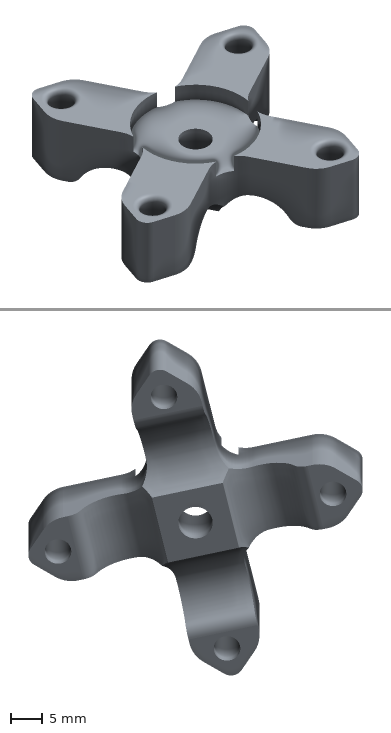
import cadquery as cq
import math

side = 40.0
height = 12.0

arm_width = 11.35
root_radius = 5.0
shoulder_radius = 5.0
corner_radius = 2.0

recess_diameter = 21.0
recess_depth = 3.0
bore_diameter = 5.5

hole_offset = 16.0
hole_diameter = 4.3
mouth_diameter = 6.3

arch_position = 12.0
arch_radius = 6.5
arch_axis_drop = 2.1
arch_lip_radius = 2.5

position_tolerance = 0.005
half_side = side / 2
arm_angles = [45 + 90 * step for step in range(4)]


def make_cross():
    """Diagonal cross trimmed to the square, with all upright edges rounded."""
    arm_length = side * math.sqrt(2)
    arm = cq.Workplane("XY").rect(arm_length, arm_width).extrude(height)
    crossing_arm = cq.Workplane("XY").rect(arm_width, arm_length).extrude(height)
    root_area = cq.selectors.BoxSelector((-arm_width, -arm_width, 0), (arm_width, arm_width, height))
    cross = arm.union(crossing_arm).edges("|Z").edges(root_area).fillet(root_radius)
    cross = cross.rotate((0, 0, 0), (0, 0, 1), arm_angles[0])

    square = cq.Workplane("XY").rect(side, side).extrude(height)
    cross = cross.intersect(square)

    cross = cross.edges("|Z").filter(
        lambda edge: math.isclose(abs(edge.Center().x), abs(edge.Center().y), abs_tol=position_tolerance)
    ).fillet(corner_radius)

    shoulder = half_side - arm_width / math.sqrt(2)

    def is_shoulder(edge):
        near, far = sorted((abs(edge.Center().x), abs(edge.Center().y)))
        on_side = math.isclose(far, half_side, abs_tol=position_tolerance)
        at_shoulder = math.isclose(near, shoulder, abs_tol=position_tolerance)
        return on_side and at_shoulder

    return cross.edges("|Z").filter(is_shoulder).fillet(shoulder_radius)


def make_arch(angle):
    """Arched cutter running across one arm, with a flared outer lip."""
    lip_reach = arch_radius + arch_lip_radius
    lip_rise = arch_axis_drop + arch_lip_radius
    lip_run = math.sqrt(lip_reach**2 - lip_rise**2)
    lip_end = arch_position + lip_run

    touch_x = arch_position + arch_radius * lip_run / lip_reach
    touch_z = arch_radius * lip_rise / lip_reach - arch_axis_drop
    lip_tilt = math.atan2(lip_run, lip_rise) / 2
    lip_middle_x = lip_end - arch_lip_radius * math.sin(lip_tilt)
    lip_middle_z = arch_lip_radius * (1 - math.cos(lip_tilt))

    inner_end = arch_position - math.sqrt(arch_radius**2 - arch_axis_drop**2)
    return (
        cq.Workplane("XZ")
        .moveTo(inner_end, 0)
        .threePointArc((arch_position, arch_radius - arch_axis_drop), (touch_x, touch_z))
        .threePointArc((lip_middle_x, lip_middle_z), (lip_end, 0))
        .close()
        .extrude(half_side, both=True)
        .rotate((0, 0, 0), (0, 0, 1), angle)
    )


def make_mounting_hole():
    """Cutter on the Z axis: a straight hole opening into a rounded mouth."""
    hole_radius = hole_diameter / 2
    mouth_radius = mouth_diameter / 2
    rounding = mouth_radius - hole_radius
    middle_x = mouth_radius - rounding * math.cos(math.pi / 4)
    middle_z = height - rounding + rounding * math.sin(math.pi / 4)
    return (
        cq.Workplane("XZ")
        .lineTo(hole_radius, 0)
        .lineTo(hole_radius, height - rounding)
        .threePointArc((middle_x, middle_z), (mouth_radius, height))
        .lineTo(0, height)
        .close()
        .revolve(360, (0, 0), (0, 1))
    )


result = make_cross()

result = result.cut(
    cq.Workplane("XY").workplane(offset=height - recess_depth)
    .circle(recess_diameter / 2).extrude(recess_depth)
)
result = result.cut(cq.Workplane("XY").circle(bore_diameter / 2).extrude(height))

for arm_angle in arm_angles:
    result = result.cut(make_arch(arm_angle))

mounting_hole = make_mounting_hole()
for hole_x in (-hole_offset, hole_offset):
    for hole_y in (-hole_offset, hole_offset):
        result = result.cut(mounting_hole.translate((hole_x, hole_y, 0)))